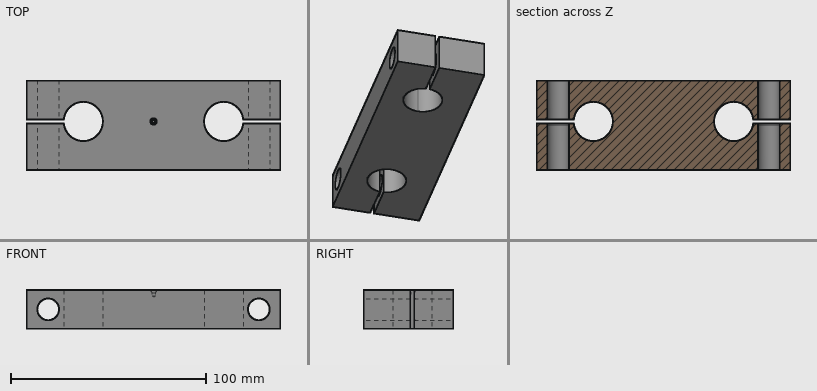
import cadquery as cq
import math

LENGTH = 130.0
WIDTH = 46.0
HEIGHT = 20.0

BORE_DIAMETER = 20.0
BORE_SPACING = 72.0
BORE_LINE_Y = 2.0
SLOT_WIDTH = 2.0

SCREW_HOLE_DIAMETER = 11.0
SCREW_HOLE_SPACING = 108.0

COUNTERSINK_DIAMETER = 3.35
COUNTERSINK_ANGLE = 60.0
PILOT_DIAMETER = 1.6
PILOT_LENGTH = 1.5
PILOT_TIP_ANGLE = 120.0


def clamp_cutter(side):
    """Bore and the slot that opens it to the end face; side is -1 or +1."""
    bore_x = side * BORE_SPACING / 2
    end_x = side * LENGTH / 2
    bore = (
        cq.Workplane("XY")
        .center(bore_x, BORE_LINE_Y)
        .circle(BORE_DIAMETER / 2)
        .extrude(HEIGHT / 2, both=True)
    )
    slot = (
        cq.Workplane("XY")
        .center((bore_x + end_x) / 2, BORE_LINE_Y)
        .rect(abs(end_x - bore_x), SLOT_WIDTH)
        .extrude(HEIGHT / 2, both=True)
    )
    return bore.union(slot)


def screw_hole_cutter(side):
    """Clamp screw hole through the width, crossing the slot."""
    return (
        cq.Workplane("XZ")
        .center(side * SCREW_HOLE_SPACING / 2, 0)
        .circle(SCREW_HOLE_DIAMETER / 2)
        .extrude(WIDTH / 2, both=True)
    )


def cone_depth(radius_change, included_angle):
    """Axial length over which a cone changes radius by the given amount."""
    return radius_change / math.tan(math.radians(included_angle / 2))


def centre_hole_cutter():
    """Countersink, pilot and pointed tip, revolved about the hole axis."""
    countersink_radius = COUNTERSINK_DIAMETER / 2
    pilot_radius = PILOT_DIAMETER / 2
    top_z = HEIGHT / 2
    pilot_top_z = top_z - cone_depth(countersink_radius - pilot_radius, COUNTERSINK_ANGLE)
    pilot_bottom_z = pilot_top_z - PILOT_LENGTH
    tip_z = pilot_bottom_z - cone_depth(pilot_radius, PILOT_TIP_ANGLE)
    half_profile = [
        (0, top_z),
        (countersink_radius, top_z),
        (pilot_radius, pilot_top_z),
        (pilot_radius, pilot_bottom_z),
        (0, tip_z),
    ]
    return (
        cq.Workplane("XZ")
        .polyline(half_profile)
        .close()
        .revolve(360, (0, 0, 0), (0, 1, 0))
        .translate((0, BORE_LINE_Y, 0))
    )


result = cq.Workplane("XY").box(LENGTH, WIDTH, HEIGHT)
for end in (-1, 1):
    result = result.cut(clamp_cutter(end)).cut(screw_hole_cutter(end))
result = result.cut(centre_hole_cutter())